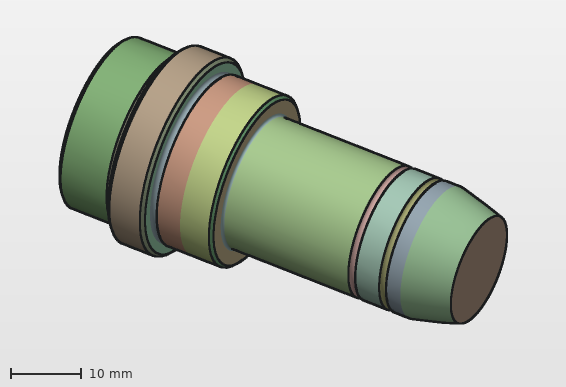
import cadquery as cq

total_length = 61.0
flange_start = 8.95
flange_end = 15.0
band_joint = 19.9
shoulder_end = 25.0
taper_start = 53.9
pin_groove_starts = (45.45, 50.45)

head_radius = 26.0 / 2
flange_radius = 30.0 / 2
pin_radius = 20.0 / 2
tip_radius = 16.2 / 2

head_chamfer = 0.5
flange_chamfer = 0.55
shoulder_fillet = 0.35
relief_width = 1.05
relief_depth = 0.4
pin_groove_width = 1.1
pin_groove_depth = 0.5
taper_bulge = 0.1


def cylinder(start, end, radius):
    """Solid cylinder along X between two axial positions."""
    return cq.Workplane("YZ", origin=(start, 0, 0)).circle(radius).extrude(end - start)


def groove_cutter(start, radius, width, depth):
    """Ring that cuts a shallow arc-shaped groove into a cylinder."""
    return (
        cq.Workplane("XY")
        .moveTo(start, radius)
        .threePointArc(
            (start + width / 2, radius - depth),
            (start + width, radius),
        )
        .close()
        .revolve(360, (0, 0, 0), (1, 0, 0))
    )


def pin():
    """Straight pin with a slightly convex tapered tip."""
    taper_middle = (taper_start + total_length) / 2
    taper_middle_radius = (pin_radius + tip_radius) / 2 + taper_bulge
    return (
        cq.Workplane("XY")
        .moveTo(shoulder_end, 0)
        .lineTo(shoulder_end, pin_radius + shoulder_fillet)
        .radiusArc((shoulder_end + shoulder_fillet, pin_radius), -shoulder_fillet)
        .lineTo(taper_start, pin_radius)
        .threePointArc((taper_middle, taper_middle_radius), (total_length, tip_radius))
        .lineTo(total_length, 0)
        .close()
        .revolve(360, (0, 0, 0), (1, 0, 0))
    )


head = cylinder(0, flange_start, head_radius).faces("<X").chamfer(head_chamfer)
flange = cylinder(flange_start, flange_end, flange_radius).edges().chamfer(flange_chamfer)
front_band = cylinder(flange_end, band_joint, head_radius)
rear_band = cylinder(band_joint, shoulder_end, head_radius).faces(">X").chamfer(head_chamfer)

head = head.cut(groove_cutter(flange_start - relief_width, head_radius, relief_width, relief_depth))
front_band = front_band.cut(groove_cutter(flange_end, head_radius, relief_width, relief_depth))

grooved_pin = pin()
for groove_start in pin_groove_starts:
    groove = groove_cutter(groove_start, pin_radius, pin_groove_width, pin_groove_depth)
    grooved_pin = grooved_pin.cut(groove)

result = head
for section in (flange, front_band, rear_band, grooved_pin):
    result = result.union(section, clean=False)